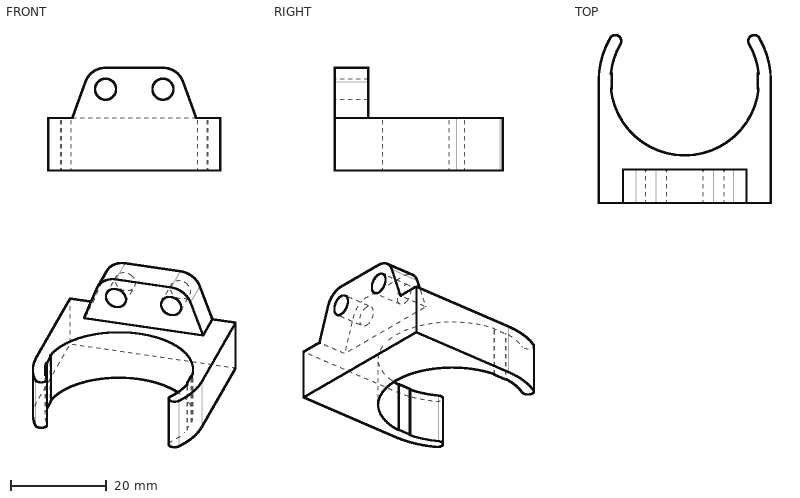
import cadquery as cq
import math

width = 36.0
body_height = 11.0
outer_radius = width / 2
bore_radius = 15.48
bore_center_y = 25.5
tip_angle = math.radians(30)

pad_gap = 30.42
pad_length = 3.15

total_height = 21.5
tab_thickness = 7.02
tab_base_width = 25.9
corner_radius = 4.5
hole_diameter = 4.35
hole_spacing = 12.0
hole_z = total_height - corner_radius


def polar(radius, angle):
    """Point at a radius and angle about the bore centre."""
    return (radius * math.cos(angle), bore_center_y + radius * math.sin(angle))


def mirrored(point):
    return (-point[0], point[1])


def make_body():
    """Block with an open bore and two curved arms ending in round tips."""
    tip_radius = (outer_radius - bore_radius) / 2
    tip_center = polar(bore_radius + tip_radius, tip_angle)
    tip_end = (
        tip_center[0] - tip_radius * math.sin(tip_angle),
        tip_center[1] + tip_radius * math.cos(tip_angle),
    )
    arm_outside = polar(outer_radius, tip_angle)
    arm_inside = polar(bore_radius, tip_angle)
    arm_middle = polar(outer_radius, tip_angle / 2)
    bore_bottom = (0, bore_center_y - bore_radius)
    return (
        cq.Workplane("XY")
        .moveTo(-outer_radius, 0)
        .lineTo(outer_radius, 0)
        .lineTo(outer_radius, bore_center_y)
        .threePointArc(arm_middle, arm_outside)
        .threePointArc(tip_end, arm_inside)
        .threePointArc(bore_bottom, mirrored(arm_inside))
        .threePointArc(mirrored(tip_end), mirrored(arm_outside))
        .threePointArc(mirrored(arm_middle), (-outer_radius, bore_center_y))
        .close()
        .extrude(body_height)
    )


def make_pads():
    """Full-height pads that stand slightly proud of the bore wall."""
    pad_depth = (outer_radius + bore_radius - pad_gap) / 2
    pad_x = (pad_gap + pad_depth) / 2
    return (
        cq.Workplane("XY")
        .pushPoints([(-pad_x, bore_center_y), (pad_x, bore_center_y)])
        .rect(pad_depth, pad_length)
        .extrude(body_height)
    )


def make_tab():
    """Tapered tab whose rounded corners are concentric with its two holes."""
    hole_x = hole_spacing / 2
    foot = (tab_base_width / 2, body_height)

    foot_dx = foot[0] - hole_x
    foot_dz = foot[1] - hole_z
    foot_distance = math.hypot(foot_dx, foot_dz)
    tangent_angle = math.atan2(foot_dz, foot_dx) + math.acos(corner_radius / foot_distance)

    def corner_point(angle):
        return (hole_x + corner_radius * math.cos(angle), hole_z + corner_radius * math.sin(angle))

    tangent = corner_point(tangent_angle)
    corner_middle = corner_point((tangent_angle + math.pi / 2) / 2)
    return (
        cq.Workplane("XZ")
        .moveTo(-foot[0], 0)
        .lineTo(foot[0], 0)
        .lineTo(*foot)
        .lineTo(*tangent)
        .threePointArc(corner_middle, (hole_x, total_height))
        .lineTo(-hole_x, total_height)
        .threePointArc(mirrored(corner_middle), mirrored(tangent))
        .lineTo(*mirrored(foot))
        .close()
        .extrude(-tab_thickness)
    )


def make_holes():
    """Two cutters running through the tab along Y."""
    return (
        cq.Workplane("XZ")
        .pushPoints([(-hole_spacing / 2, hole_z), (hole_spacing / 2, hole_z)])
        .circle(hole_diameter / 2)
        .extrude(-tab_thickness)
    )


result = make_body().union(make_pads()).union(make_tab()).cut(make_holes())